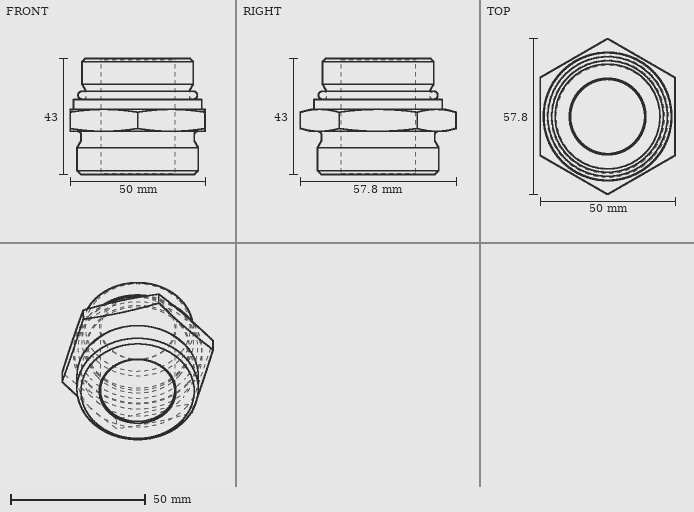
import cadquery as cq
import math

hex_across_corners = 57.75
hex_sides = 6
total_height = 43.0

bore_radius = 27.5 / 2
lower_radius = 45.0 / 2
relief_radius = 42.0 / 2
collar_radius = 47.6 / 2
seal_neck_radius = 38.3 / 2
upper_radius = 41.3 / 2

lower_cylinder_top = 10.0
hex_bottom = 16.0
hex_top = 24.2
collar_top = 27.9
neck_top = 30.9

bottom_chamfer = 1.5
top_chamfer = 1.2
bore_chamfer = 0.45
collar_chamfer = 0.25
relief_fillet = 1.2
runout_fillet = 1.0
runout_angle = math.radians(30)
hex_chamfer_radius = 24.8
hex_chamfer_angle = math.radians(15)

ring_section_radius = 1.5


def runout_height(large_radius, small_radius):
    """Axial length of a run-out cone between two radii."""
    return (large_radius - small_radius) / math.tan(runout_angle)


def revolve_profile(profile):
    """Turn a closed radius/height profile around the Z axis."""
    return profile.close().revolve(360, (0, 0, 0), (0, 1, 0))


def make_turned_body():
    """Solid of revolution: both threaded ends, relief, collar and seal neck."""
    cone_end = lower_cylinder_top + runout_height(lower_radius, relief_radius)
    upper_cylinder_bottom = neck_top + runout_height(upper_radius, seal_neck_radius)
    tangent = runout_fillet * math.tan(runout_angle / 2)
    tangent_radial = tangent * math.sin(runout_angle)
    tangent_axial = tangent * math.cos(runout_angle)

    profile = (
        cq.Workplane("XZ")
        .moveTo(0, 0)
        .lineTo(lower_radius - bottom_chamfer, 0)
        .lineTo(lower_radius, bottom_chamfer)
        .lineTo(lower_radius, lower_cylinder_top)
        .lineTo(relief_radius + tangent_radial, cone_end - tangent_axial)
        .radiusArc((relief_radius, cone_end + tangent), runout_fillet)
        .lineTo(relief_radius, hex_bottom - relief_fillet)
        .radiusArc((relief_radius + relief_fillet, hex_bottom), relief_fillet)
        .lineTo(collar_radius, hex_bottom)
        .lineTo(collar_radius, collar_top - collar_chamfer)
        .lineTo(collar_radius - collar_chamfer, collar_top)
        .lineTo(seal_neck_radius, collar_top)
        .lineTo(seal_neck_radius, neck_top - tangent)
        .radiusArc((seal_neck_radius + tangent_radial, neck_top + tangent_axial), runout_fillet)
        .lineTo(upper_radius, upper_cylinder_bottom)
        .lineTo(upper_radius, total_height - top_chamfer)
        .lineTo(upper_radius - top_chamfer, total_height)
        .lineTo(0, total_height)
    )
    return revolve_profile(profile)


def make_hexagon():
    """Wrench hexagon, corners on the Y axis, chamfered on both faces."""
    hexagon = (
        cq.Workplane("XY", origin=(0, 0, hex_bottom))
        .polygon(hex_sides, hex_across_corners)
        .extrude(hex_top - hex_bottom)
        .rotate((0, 0, 0), (0, 0, 1), 180 / hex_sides)
    )
    corner_radius = hex_across_corners / 2
    drop = (corner_radius - hex_chamfer_radius) * math.tan(hex_chamfer_angle)
    envelope = revolve_profile(
        cq.Workplane("XZ")
        .moveTo(0, hex_bottom)
        .lineTo(hex_chamfer_radius, hex_bottom)
        .lineTo(corner_radius, hex_bottom + drop)
        .lineTo(corner_radius, hex_top - drop)
        .lineTo(hex_chamfer_radius, hex_top)
        .lineTo(0, hex_top)
    )
    return hexagon.intersect(envelope)


def make_bore():
    """Through bore with a chamfered mouth at each end."""
    mouth_radius = bore_radius + bore_chamfer
    return revolve_profile(
        cq.Workplane("XZ")
        .moveTo(0, 0)
        .lineTo(mouth_radius, 0)
        .lineTo(bore_radius, bore_chamfer)
        .lineTo(bore_radius, total_height - bore_chamfer)
        .lineTo(mouth_radius, total_height)
        .lineTo(0, total_height)
    )


def make_fitting():
    return make_turned_body().union(make_hexagon()).cut(make_bore())


def make_sealing_ring():
    """O-ring around the seal neck, resting on the collar."""
    center_radius = seal_neck_radius + ring_section_radius
    center_height = collar_top + ring_section_radius
    return (
        cq.Workplane("XZ")
        .center(center_radius, center_height)
        .circle(ring_section_radius)
        .revolve(360, (-center_radius, 0, 0), (-center_radius, 1, 0))
    )


fitting = make_fitting()
sealing_ring = make_sealing_ring()

result = cq.Compound.makeCompound([fitting.val(), sealing_ring.val()])